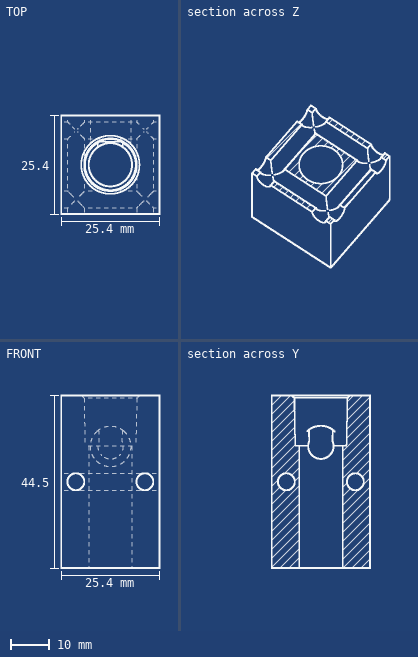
import cadquery as cq

height = 44.45
width = 25.4

bore_diameter = 11.1
port_mouth_diameter = 15.02
port_top_diameter = 13.6
port_floor_diameter = 13.05
port_depth = 12.9
port_chamfer = 0.62

side_port_height = 31.4
side_port_diameter = 10.45
side_port_end = 5.85
side_passage_diameter = 6.5

mount_diameter = 4.3
mount_spacing = 17.8


def make_block():
    return cq.Workplane("XY").box(width, width, height, centered=(True, True, False))


def make_main_bore():
    """Through bore, tapered port and entry chamfer as one revolved profile."""
    floor = height - port_depth
    return (
        cq.Workplane("XZ")
        .lineTo(bore_diameter / 2, 0)
        .lineTo(bore_diameter / 2, floor)
        .lineTo(port_floor_diameter / 2, floor)
        .lineTo(port_top_diameter / 2, height - port_chamfer)
        .lineTo(port_mouth_diameter / 2, height)
        .lineTo(0, height)
        .close()
        .revolve(360, (0, 0, 0), (0, 1, 0))
    )


def make_side_hole(diameter, start):
    """Cylinder along Y from the given start out through the +Y face."""
    return (
        cq.Workplane("XZ", origin=(0, start, side_port_height))
        .circle(diameter / 2)
        .extrude(start - width / 2)
    )


def make_mount_holes(plane):
    return (
        cq.Workplane(plane)
        .center(0, height / 2)
        .pushPoints([(-mount_spacing / 2, 0), (mount_spacing / 2, 0)])
        .circle(mount_diameter / 2)
        .extrude(width / 2, both=True)
    )


result = make_block().cut(make_main_bore())
result = result.cut(make_side_hole(side_passage_diameter, 0))
result = result.cut(make_side_hole(side_port_diameter, side_port_end))
for plane in ("XZ", "YZ"):
    result = result.cut(make_mount_holes(plane))